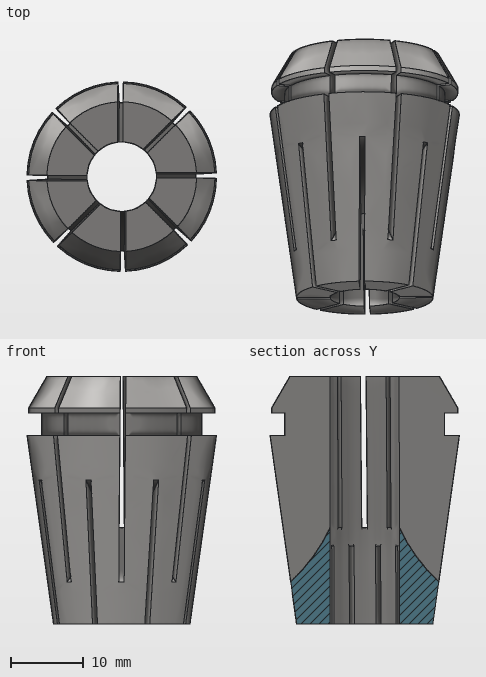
import cadquery as cq
import math

height = 34.0
max_radius = 13.005
bore_radius = 4.75

taper_angle = 8.0
taper_height = 25.87
bottom_radius = max_radius - taper_height * math.tan(math.radians(taper_angle))

neck_radius = 10.98
groove_top = 28.95
head_radius = 12.8
head_rim_top = 29.65
head_angle = 30.0
top_radius = head_radius - (height - head_rim_top) * math.tan(math.radians(head_angle))

slots_per_end = 8
slot_pitch = 360.0 / slots_per_end
slot_width = 0.75
slot_tilt = 0.5
tilt_pivot = 10.2
saw_radius = 23.8
saw_distance = 26.35
upper_saw_height = 23.25
lower_saw_height = 0.68
end_clearance = 1.7


def collet_body():
    """Revolved outline: taper, groove, head and through bore."""
    outline = [
        (bore_radius, 0),
        (bottom_radius, 0),
        (max_radius, taper_height),
        (neck_radius, taper_height),
        (neck_radius, groove_top),
        (head_radius, groove_top),
        (head_radius, head_rim_top),
        (top_radius, height),
        (bore_radius, height),
    ]
    return cq.Workplane("XZ").polyline(outline).close().revolve(360, (0, 0, 0), (0, 1, 0))


def saw_slot(saw_height, toward, open_end):
    """Slot along +X from a quarter-round run-out to open_end; toward is +1 for up, -1 for down."""
    inner = saw_distance - saw_radius
    diagonal = saw_radius * math.sqrt(0.5)
    slot = (
        cq.Workplane("XZ")
        .moveTo(inner, open_end)
        .lineTo(inner, saw_height)
        .threePointArc(
            (saw_distance - diagonal, saw_height - toward * diagonal),
            (saw_distance, saw_height - toward * saw_radius),
        )
        .lineTo(saw_distance, open_end)
        .close()
        .extrude(slot_width / 2, both=True)
    )
    return slot.rotate((0, 0, tilt_pivot), (1, 0, tilt_pivot), -slot_tilt)


upper_slot = saw_slot(upper_saw_height, 1, height + end_clearance)
lower_slot = saw_slot(lower_saw_height, -1, -end_clearance)

result = collet_body()
for index in range(slots_per_end):
    angle = index * slot_pitch
    result = result.cut(upper_slot.rotate((0, 0, 0), (0, 0, 1), angle))
    result = result.cut(lower_slot.rotate((0, 0, 0), (0, 0, 1), angle + slot_pitch / 2))